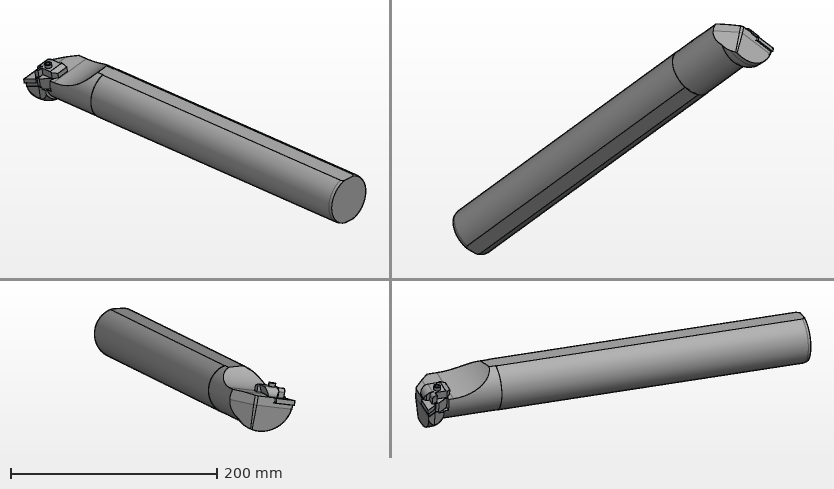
import cadquery as cq
import math

bar_length = 400.0
shank_diameter = 50.0
shank_height = 47.0
shank_end_chamfer_length = 3.0
shank_end_chamfer_depth = 0.8

head_length = 80.0
head_radius = 24.75
head_flat_z = shank_height / 2

nose_radius = 29.24
nose_center_y = -4.2
nose_round_start = 9.5
nose_end = 20.0
nose_end_radius = 24.5

tip_x = -0.01
tip_y = -35.07
seat_tilt = 10.0

insert_edge = 19.3
insert_width = 9.7
insert_thickness = 4.76
insert_angle = 55.0

head_top_w = 1.35
front_band_w = -8.9
front_u = 1.4
front_relief = 9.0
bevel_start_v = 38.2
bevel_end = (2.7, 41.0)
top_slope_length = 10.0
top_slope_drop = 1.1

scoop_start_u = 30.0
scoop_radius = 63.0
scoop_arc_angle = 60.0

pocket_start_u = 11.5
pocket_end_u = 25.3
pocket_floor_w = -10.8
pocket_offset = 2.2
nose_side_v = 7.6
nose_side_step = 0.7

clamp_start_u = 2.2
clamp_end_u = 29.0
clamp_height = 9.2
clamp_round = 8.0
clamp_slope_start_u = 23.0
clamp_slope_drop = 2.5
clamp_front_v = 14.8
clamp_nose_front_v = 16.7
clamp_nose_back_v = 30.6
clamp_nose_corner = 1.8
clamp_back_v = 32.0
clamp_body_u = 11.5
clamp_corner = 4.4
undercut_depth = 3.7
undercut_end_u = 22.3

finger_start_u = 7.5
finger_end_u = 12.2
finger_front_v = 9.2
finger_height = 9.2
finger_round = 3.5

screw_u = 15.9
screw_v = 20.2
screw_head_diameter = 6.7
screw_socket_diameter = 3.9
screw_top_w = 12.6
screw_socket_depth = 3.0

reach = 150.0

tilt = math.radians(seat_tilt)
trailing_slope = 1 / math.tan(math.radians(insert_angle))


def seat_plane(w=0.0):
    """Plane parallel to the insert seat, offset by w, with its origin over the tip."""
    normal = cq.Vector(0, -math.sin(tilt), math.cos(tilt))
    origin = cq.Vector(tip_x, tip_y, 0) + normal * w
    return cq.Workplane(cq.Plane(origin=origin, xDir=(1, 0, 0), normal=normal))


def side_plane(v):
    """Plane in U and W at distance v from the tip; extruding it goes towards lower V."""
    along = cq.Vector(0, math.cos(tilt), math.sin(tilt))
    origin = cq.Vector(tip_x, tip_y, 0) + along * v
    return cq.Workplane(cq.Plane(origin=origin, xDir=(1, 0, 0), normal=along * -1))


def make_flat_slab():
    """Everything between the two shank flats."""
    return cq.Workplane("XY").box(bar_length, reach, shank_height).translate((bar_length / 2, 0, 0))


def make_shank():
    radius = shank_diameter / 2
    end_x = bar_length
    profile = [
        (head_length, 0),
        (head_length, radius),
        (end_x - shank_end_chamfer_length, radius),
        (end_x, radius - shank_end_chamfer_depth),
        (end_x, 0),
    ]
    shank = cq.Workplane("XY").polyline(profile).close().revolve(360, (0, 0, 0), (1, 0, 0))
    return shank.intersect(make_flat_slab())


def make_head_flat():
    """Material above the top flat, which runs on from the shank."""
    return cq.Workplane("XY").workplane(offset=head_flat_z).rect(reach * 2, reach).extrude(reach)


def make_nose():
    """Off-centre round nose whose rear edge is rounded towards the bar."""
    length = nose_end - nose_round_start
    drop = nose_radius - nose_end_radius
    round_radius = (length**2 + drop**2) / (2 * drop)
    half_angle = math.asin(length / round_radius) / 2
    mid = (
        nose_round_start + round_radius * math.sin(half_angle),
        nose_radius - round_radius * (1 - math.cos(half_angle)),
    )
    return (
        cq.Workplane("XY")
        .lineTo(0, nose_radius)
        .lineTo(nose_round_start, nose_radius)
        .threePointArc(mid, (nose_end, nose_end_radius))
        .lineTo(nose_end, 0)
        .close()
        .revolve(360, (0, 0, 0), (1, 0, 0))
        .translate((0, nose_center_y, 0))
    )


def head_outline(w):
    """Front face, narrow bevel and corner chamfer; the other sides lie clear of the head."""
    chamfer_run = reach - bevel_end[1]
    return seat_plane(w).polyline([
        (front_u, -reach),
        (front_u, bevel_start_v),
        bevel_end,
        (bevel_end[0] + chamfer_run, reach),
        (2 * reach, reach),
        (2 * reach, -reach),
    ]).close()


def make_head_envelope():
    upper = head_outline(front_band_w).extrude(reach)
    lower = head_outline(front_band_w).extrude(-reach / 2, taper=front_relief)
    return upper.union(lower)


def make_scoop():
    """Tilted flat over the seat that runs out to the bar top in a large arc."""
    arc_angle = math.radians(scoop_arc_angle)
    arc_length = scoop_radius * math.sin(arc_angle)
    arc_mid = (
        scoop_start_u + scoop_radius * math.sin(arc_angle / 2),
        head_top_w + scoop_radius * (1 - math.cos(arc_angle / 2)),
    )
    arc_end = (
        scoop_start_u + arc_length,
        head_top_w + scoop_radius * (1 - math.cos(arc_angle)),
    )
    slope_start_u = front_u + top_slope_length
    return (
        side_plane(reach)
        .moveTo(front_u - top_slope_length, head_top_w - 2 * top_slope_drop)
        .lineTo(slope_start_u, head_top_w)
        .lineTo(scoop_start_u, head_top_w)
        .threePointArc(arc_mid, arc_end)
        .lineTo(front_u - top_slope_length, arc_end[1])
        .close()
        .extrude(2 * reach)
    )


def nose_side_cut(top_w, inset):
    """Trims the nose along the insert's trailing edge, then parallel to the bar."""
    side_v = nose_side_v + inset
    return (
        seat_plane(top_w)
        .polyline([
            (-reach, inset - reach * trailing_slope),
            (nose_side_v / trailing_slope, side_v),
            (reach, side_v),
            (reach, -reach),
        ])
        .close()
        .extrude(-reach)
    )


def make_pocket():
    """Pocket behind the insert, open to the side, set along the trailing edge."""
    return (
        seat_plane(pocket_floor_w)
        .polyline([
            (pocket_start_u, pocket_start_u * trailing_slope - pocket_offset),
            (pocket_end_u, pocket_end_u * trailing_slope - pocket_offset),
            (pocket_end_u, -reach),
            (pocket_start_u, -reach),
        ])
        .close()
        .extrude(clamp_height - pocket_floor_w)
    )


def insert_prism(top_w):
    """Parallelogram of the insert, from its underside up to top_w."""
    side_v = insert_width * trailing_slope
    return (
        seat_plane(-insert_thickness)
        .polyline([
            (0, 0),
            (insert_width, side_v),
            (insert_width, side_v + insert_edge),
            (0, insert_edge),
        ])
        .close()
        .extrude(insert_thickness + top_w)
    )


def make_clamp_body():
    shoulder = (clamp_start_u + clamp_round, clamp_height)
    arc_mid = (
        shoulder[0] - clamp_round * math.cos(math.pi / 4),
        clamp_height - clamp_round * (1 - math.sin(math.pi / 4)),
    )
    side = (
        side_plane(clamp_back_v)
        .moveTo(clamp_start_u, 0)
        .lineTo(clamp_start_u, clamp_height - clamp_round)
        .threePointArc(arc_mid, shoulder)
        .lineTo(clamp_slope_start_u, clamp_height)
        .lineTo(clamp_end_u, clamp_height - clamp_slope_drop)
        .lineTo(clamp_end_u, 0)
        .close()
        .extrude(clamp_back_v)
    )
    plan = (
        seat_plane()
        .polyline([
            (clamp_start_u, clamp_nose_front_v + clamp_nose_corner),
            (clamp_start_u + clamp_nose_corner, clamp_nose_front_v),
            (clamp_body_u, clamp_nose_front_v),
            (clamp_body_u, clamp_front_v),
            (clamp_end_u - clamp_corner, clamp_front_v),
            (clamp_end_u, clamp_front_v + clamp_corner),
            (clamp_end_u, clamp_back_v),
            (undercut_end_u, clamp_back_v),
            (undercut_end_u, clamp_nose_back_v),
            (clamp_start_u + clamp_nose_corner, clamp_nose_back_v),
            (clamp_start_u, clamp_nose_back_v - clamp_nose_corner),
        ])
        .close()
        .extrude(clamp_height)
    )
    return side.intersect(plan)


def make_undercut():
    """Sloping back of the clamp, leaning in towards its foot."""
    along = cq.Plane(
        origin=(tip_x, tip_y, 0),
        xDir=(0, math.cos(tilt), math.sin(tilt)),
        normal=(1, 0, 0),
    )
    foot_v = clamp_nose_back_v - undercut_depth
    return (
        cq.Workplane(along)
        .polyline([
            (foot_v, 0),
            (clamp_nose_back_v, clamp_height),
            (clamp_nose_back_v, 0),
        ])
        .close()
        .extrude(undercut_end_u)
    )


def make_finger():
    """Finger reaching over the insert, round on its front upper edge."""
    arc_mid = (
        finger_start_u + finger_round * (1 - math.cos(math.pi / 4)),
        finger_height - finger_round * (1 - math.sin(math.pi / 4)),
    )
    return (
        side_plane(clamp_nose_front_v)
        .moveTo(finger_start_u, 0)
        .lineTo(finger_start_u, finger_height - finger_round)
        .threePointArc(arc_mid, (finger_start_u + finger_round, finger_height))
        .lineTo(finger_end_u, finger_height)
        .lineTo(finger_end_u, 0)
        .close()
        .extrude(clamp_nose_front_v - finger_front_v)
    )


def make_clamp():
    screw = seat_plane().center(screw_u, screw_v).circle(screw_head_diameter / 2).extrude(screw_top_w)
    socket = (
        seat_plane(screw_top_w)
        .center(screw_u, screw_v)
        .circle(screw_socket_diameter / 2)
        .extrude(-screw_socket_depth)
    )
    body = make_clamp_body().cut(make_undercut())
    return body.union(make_finger()).union(screw).cut(socket)


def make_holder():
    head = cq.Workplane("YZ").circle(head_radius).extrude(head_length)
    head = head.cut(make_head_flat())
    head = head.union(make_nose())
    head = head.intersect(make_head_envelope())
    head = head.cut(make_scoop())
    head = head.cut(nose_side_cut(clamp_height, 0))
    head = head.cut(nose_side_cut(front_band_w, nose_side_step))
    head = head.cut(make_pocket())
    head = head.cut(insert_prism(clamp_height))
    return head.union(make_shank()).union(make_clamp())


holder = make_holder()
insert = insert_prism(0)

result = cq.Compound.makeCompound([holder.val(), insert.val()])